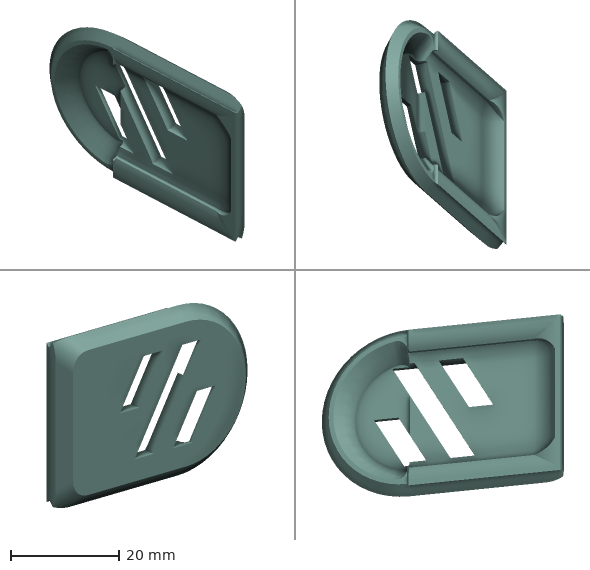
import cadquery as cq
import math

LENGTH = 46.2
WIDTH = 33.6
THICKNESS = 5.0

outer_radius = WIDTH / 2
end_x = LENGTH - outer_radius
back_chamfer = 2.5
front_chamfer = 1.75
arc_front = back_chamfer + front_chamfer
lip_overhang = 0.65
lip_end_chamfer = 0.35
end_back_inset = 2.3
corner_radius = 5.2
groove_half = outer_radius - front_chamfer
lip_half = groove_half + lip_overhang

arc_rim_radius = 14.15
arc_floor_radius = 10.8
arc_floor_thickness = 0.92
arc_corner_radius = 2.1

floor_thickness = 2.45
floor_half = 8.87
wall_half = 11.7
rim_half = 14.55
rim_end_x = end_x - 1.05
floor_end_x = rim_end_x - 4.25
basin_fillet = 4.75
basin_corner_radius = 4.8
roll_drop = 0.95
wall_corner_bulge = 0.65

slot_half_height = 9.95
slot_width = 4.6
slot_pitch = 9.25
slot_centre_x = 4.35
slot_angle = math.radians(30)


def round_end():
    """Half disc chamfered on both faces, on the -X side of the Y axis."""
    section = [
        (0, 0),
        (outer_radius - back_chamfer, 0),
        (outer_radius, -back_chamfer),
        (groove_half, -arc_front),
        (0, -arc_front),
    ]
    disc = cq.Workplane("XY").polyline(section).close().revolve(360, (0, 0), (0, 1))
    left_half = cq.Workplane("XY").box(WIDTH, WIDTH, WIDTH).translate((-outer_radius, 0, 0))
    return disc.intersect(left_half)


def straight_body():
    """Straight part with an undercut lip along both sides and a sloped, rounded back end."""
    half_section = [
        (0, outer_radius - back_chamfer),
        (-back_chamfer, outer_radius),
        (-arc_front, groove_half),
        (-arc_front - lip_overhang, lip_half),
        (-THICKNESS, lip_half),
    ]
    section = half_section + [(y, -z) for y, z in reversed(half_section)]
    body = cq.Workplane("YZ").polyline(section).close().extrude(end_x)

    back_half = outer_radius - back_chamfer
    front_half = back_half + THICKNESS
    back_end = end_x - end_back_inset
    wedge = (
        cq.Workplane("YZ")
        .polyline([(0, back_half), (-THICKNESS, front_half), (-THICKNESS, -front_half), (0, -back_half)])
        .close()
        .extrude(back_end + THICKNESS)
    )
    end_profile = [(0, 0), (back_end, 0), (back_end + THICKNESS, -THICKNESS), (0, -THICKNESS)]
    end_slope = cq.Workplane("XY").polyline(end_profile).close().extrude(front_half, both=True)
    wedge = wedge.intersect(end_slope)
    half_thickness = THICKNESS / 2
    for side in (1, -1):
        edge_point = (back_end + half_thickness, -half_thickness, side * (back_half + half_thickness))
        wedge = wedge.edges(cq.selectors.NearestToPointSelector(edge_point)).fillet(corner_radius)
    body = body.intersect(wedge)

    bevel = (
        cq.Workplane("XY")
        .polyline([(0, -THICKNESS), (lip_end_chamfer, -THICKNESS), (0, -THICKNESS + lip_end_chamfer)])
        .close()
        .extrude(outer_radius, both=True)
    )
    return body.cut(bevel)


def round_pocket():
    """Half-disc pocket that tapers to its floor, with rounded corners next to the straight part."""

    def outline(radius, depth_y):
        centre_z = math.sqrt((radius - arc_corner_radius) ** 2 - arc_corner_radius**2)
        tangent_x = -arc_corner_radius * radius / (radius - arc_corner_radius)
        tangent_z = centre_z * radius / (radius - arc_corner_radius)
        middle_angle = math.atan2(centre_z, -arc_corner_radius) / 2
        middle_x = arc_corner_radius * (math.cos(middle_angle) - 1)
        middle_z = centre_z + arc_corner_radius * math.sin(middle_angle)
        return (
            cq.Workplane("XZ", origin=(0, depth_y, 0))
            .moveTo(0, -centre_z)
            .lineTo(0, centre_z)
            .threePointArc((middle_x, middle_z), (tangent_x, tangent_z))
            .threePointArc((-radius, 0), (tangent_x, -tangent_z))
            .threePointArc((middle_x, -middle_z), (0, -centre_z))
            .close()
            .val()
        )

    floor_outline = outline(arc_floor_radius, -arc_floor_thickness)
    rim_outline = outline(arc_rim_radius, -arc_front)
    return cq.Workplane(cq.Solid.makeLoft([floor_outline, rim_outline], True))


def basin():
    """Lower pocket: upright walls around a floor with large rounded edges."""
    depth = THICKNESS - floor_thickness
    outline_run_x = rim_end_x - floor_end_x
    outline_run_z = wall_half - floor_half
    corner_x = floor_end_x + outline_run_x * wall_corner_bulge
    corner_z = floor_half + outline_run_z * wall_corner_bulge
    outline = (
        cq.Workplane("XZ")
        .moveTo(0, -wall_half)
        .lineTo(floor_end_x, -wall_half)
        .threePointArc((corner_x, -corner_z), (rim_end_x, -floor_half))
        .lineTo(rim_end_x, floor_half)
        .threePointArc((corner_x, corner_z), (floor_end_x, wall_half))
        .lineTo(0, wall_half)
        .close()
        .extrude(THICKNESS)
    )
    block_length = 2 * (floor_end_x + basin_fillet)
    block_height = depth + 2 * basin_fillet
    rounded = (
        cq.Workplane("XY")
        .box(block_length, block_height, 2 * (floor_half + basin_fillet))
        .edges("|Y")
        .fillet(basin_corner_radius)
        .faces(">Y")
        .edges()
        .fillet(basin_fillet)
        .translate((0, -floor_thickness - block_height / 2, 0))
    )
    return outline.intersect(rounded)


def rolled_rim():
    """Shallow pocket that rounds the rim over along both sides and fades out toward the end."""
    drop_y = -THICKNESS + roll_drop

    def roll_radius(run):
        return (run**2 + roll_drop**2) / (2 * roll_drop)

    def roll_middle(start, run):
        radius = roll_radius(run)
        angle = math.asin(run / radius) / 2
        return start - radius * math.sin(angle), -THICKNESS + radius * (1 - math.cos(angle))

    side_z, side_y = roll_middle(rim_half, rim_half - wall_half)
    sides = (
        cq.Workplane("YZ", origin=(lip_end_chamfer, 0, 0))
        .moveTo(-THICKNESS, rim_half)
        .threePointArc((side_y, side_z), (drop_y, wall_half))
        .lineTo(drop_y, -wall_half)
        .threePointArc((side_y, -side_z), (-THICKNESS, -rim_half))
        .close()
        .extrude(rim_end_x - lip_end_chamfer)
    )
    end_middle = roll_middle(rim_end_x, rim_end_x - floor_end_x)
    end = (
        cq.Workplane("XY")
        .moveTo(rim_end_x, -THICKNESS)
        .threePointArc(end_middle, (floor_end_x, drop_y))
        .lineTo(0, drop_y)
        .lineTo(0, -THICKNESS)
        .close()
        .extrude(rim_half, both=True)
    )
    return sides.intersect(end)


def slot(middle_x, low_z, high_z):
    """Slanted slot through the floor; middle_x is its centre at Z = 0."""

    def corner(z, side):
        return middle_x - z * math.tan(slot_angle) + side * slot_width / 2, z

    corners = [corner(low_z, -1), corner(low_z, 1), corner(high_z, 1), corner(high_z, -1)]
    return cq.Workplane("XZ").polyline(corners).close().extrude(THICKNESS)


result = round_end().union(straight_body())
for pocket in (round_pocket(), basin(), rolled_rim()):
    result = result.cut(pocket)

result = result.cut(slot(slot_centre_x, -slot_half_height, slot_half_height))
result = result.cut(slot(slot_centre_x + slot_pitch, 0, slot_half_height))
result = result.cut(slot(slot_centre_x - slot_pitch, -slot_half_height, 0))